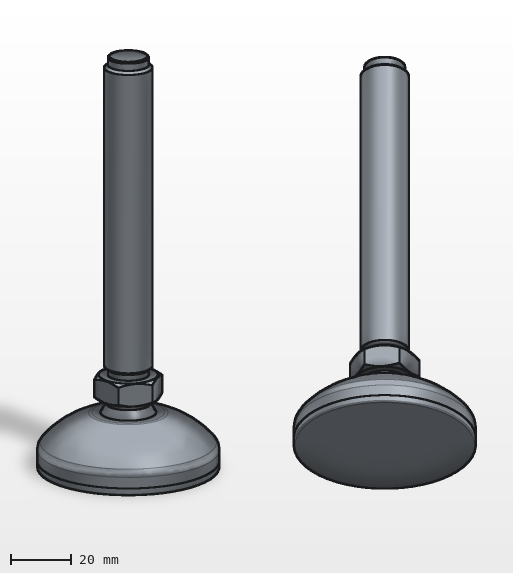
import cadquery as cq
import math


foot_diameter = 60.0
pad_thickness = 2.5
pad_edge_radius = 0.5
dome_top_z = 19.2
dome_edge_z = 7.7
dome_flat_diameter = 25.0
dome_radius = 32.0
dome_edge_radius = 4.0

ball_diameter = 20.0
ball_opening_diameter = 18.32
ball_neck_diameter = 14.3

hex_across_flats = 20.0
hex_height = 8.0
hex_gap = 5.0
hex_chamfer_diameter = 19.5
hex_chamfer_angle = 30.0

shank_length = 110.0
thread_diameter = 16.0
relief_diameter = 13.5
relief_length = 2.0
tip_length = 3.0
thread_end_length = 1.0
tip_chamfer = 0.5

foot_radius = foot_diameter / 2
ball_radius = ball_diameter / 2
ball_center_z = dome_top_z - math.sqrt(ball_radius**2 - (ball_opening_diameter / 2) ** 2)
neck_radius = ball_neck_diameter / 2
neck_bottom_z = ball_center_z + math.sqrt(ball_radius**2 - neck_radius**2)
hex_bottom_z = dome_top_z + hex_gap
hex_top_z = hex_bottom_z + hex_height
shank_top_z = hex_top_z + shank_length


def make_pad():
    """Flat disc under the base with a rounded lower edge."""
    disc = cq.Workplane("XY").circle(foot_radius).extrude(pad_thickness)
    return disc.faces("<Z").edges().fillet(pad_edge_radius)


def make_base():
    """Domed base with rounded edges and a spherical socket open at the top."""
    dome = (
        cq.Workplane("XZ")
        .moveTo(0, pad_thickness)
        .lineTo(foot_radius, pad_thickness)
        .lineTo(foot_radius, dome_edge_z)
        .radiusArc((dome_flat_diameter / 2, dome_top_z), -dome_radius)
        .lineTo(0, dome_top_z)
        .close()
        .revolve(360, (0, 0), (0, 1))
    )
    rim_and_top_edges = dome.edges(cq.selectors.BoxSelector(
        (-ball_radius, -ball_radius, pad_thickness + dome_edge_radius),
        (ball_radius, ball_radius, dome_top_z + dome_edge_radius),
    ))
    dome = rim_and_top_edges.fillet(dome_edge_radius)
    socket = cq.Workplane("XY").sphere(ball_radius).translate((0, 0, ball_center_z))
    return dome.cut(socket)


def make_hexagon():
    """Hexagon with corners on the X axis, chamfered at both ends."""
    corner_radius = hex_across_flats / math.sqrt(3)
    chamfer_radius = hex_chamfer_diameter / 2
    chamfer_height = (corner_radius - chamfer_radius) * math.tan(math.radians(hex_chamfer_angle))
    prism = (
        cq.Workplane("XY", origin=(0, 0, hex_bottom_z))
        .polygon(6, 2 * corner_radius)
        .extrude(hex_height)
    )
    chamfer_envelope = (
        cq.Workplane("XZ")
        .moveTo(0, hex_bottom_z)
        .lineTo(chamfer_radius, hex_bottom_z)
        .lineTo(corner_radius, hex_bottom_z + chamfer_height)
        .lineTo(corner_radius, hex_top_z - chamfer_height)
        .lineTo(chamfer_radius, hex_top_z)
        .lineTo(0, hex_top_z)
        .close()
        .revolve(360, (0, 0), (0, 1))
    )
    return prism.intersect(chamfer_envelope)


def make_shank():
    """Ball, neck, thread and pilot tip as one turned profile."""
    thread_radius = thread_diameter / 2
    relief_radius = relief_diameter / 2
    relief_top_z = hex_top_z + relief_length
    tip_bottom_z = shank_top_z - tip_length
    return (
        cq.Workplane("XZ")
        .moveTo(0, ball_center_z - ball_radius)
        .threePointArc((ball_radius, ball_center_z), (neck_radius, neck_bottom_z))
        .lineTo(neck_radius, hex_bottom_z)
        .lineTo(relief_radius, hex_bottom_z)
        .lineTo(relief_radius, relief_top_z)
        .lineTo(thread_radius, relief_top_z + thread_end_length)
        .lineTo(thread_radius, tip_bottom_z - thread_end_length)
        .lineTo(relief_radius, tip_bottom_z)
        .lineTo(relief_radius, shank_top_z - tip_chamfer)
        .lineTo(relief_radius - tip_chamfer, shank_top_z)
        .lineTo(0, shank_top_z)
        .close()
        .revolve(360, (0, 0), (0, 1))
    )


pad = make_pad()
base = make_base()
spindle = make_shank().union(make_hexagon())

result = cq.Compound.makeCompound([pad.val(), base.val(), *spindle.vals()])